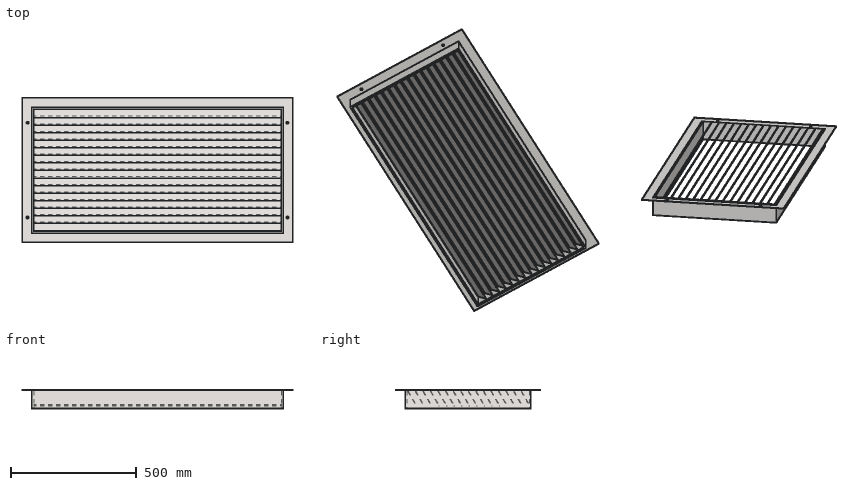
import cadquery as cq
import math

flange_length = 1075.0
flange_width = 575.0
flange_thickness = 2.0
total_height = 75.0
flange_overhang = 38.0
wall_thickness = 7.2

slat_count = 16
slat_row_span = 450.0
slat_thickness = 1.5
slat_width = 71.0
slat_angle = 60.0
slat_top_depth = 2.0
first_slat_gap = 1.2

hole_diameter = 8.0
hole_spacing_x = 1032.0
hole_spacing_y = 376.0

duct_length = flange_length - 2 * flange_overhang
duct_width = flange_width - 2 * flange_overhang
opening_length = duct_length - 2 * wall_thickness
opening_width = duct_width - 2 * wall_thickness
slat_length = opening_length + wall_thickness
slat_pitch = slat_row_span / (slat_count - 1)


def block(length, width, bottom, top):
    """Box centred on the Z axis, spanning bottom to top."""
    centre = (0, 0, (bottom + top) / 2)
    return cq.Workplane("XY").box(length, width, top - bottom).translate(centre)


def make_frame():
    """Open rectangular duct with a drilled thin flange round its upper rim."""
    flange = block(flange_length, flange_width, total_height - flange_thickness, total_height)
    duct = block(duct_length, duct_width, 0, total_height)
    opening = block(opening_length, opening_width, 0, total_height)
    holes = (
        cq.Workplane("XY")
        .rect(hole_spacing_x, hole_spacing_y, forConstruction=True)
        .vertices()
        .circle(hole_diameter / 2)
        .extrude(total_height)
    )
    return flange.union(duct).cut(opening).cut(holes)


def make_slat(upper_y):
    """Blade sloping down toward +Y from its upper edge at upper_y."""
    edge_radius = slat_thickness / 2
    tilt = math.radians(slat_angle)
    half_flat = slat_width / 2 - edge_radius
    centre_y = upper_y + edge_radius + half_flat * math.cos(tilt)
    centre_z = total_height - slat_top_depth - edge_radius - half_flat * math.sin(tilt)
    return (
        cq.Workplane("YZ")
        .center(centre_y, centre_z)
        .slot2D(slat_width, slat_thickness, -slat_angle)
        .extrude(slat_length / 2, both=True)
    )


result = make_frame()
first_slat_y = -opening_width / 2 + first_slat_gap
for index in range(slat_count):
    result = result.union(make_slat(first_slat_y + index * slat_pitch))